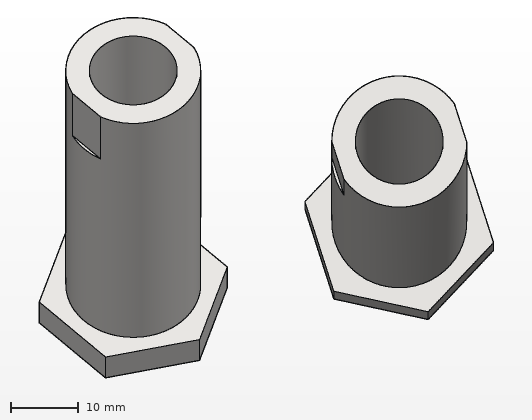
import cadquery as cq
import math

total_height = 56.0
head_corner_width = 28.6
head_height = 5.0
tube_diameter = 20.0
bore_diameter = 13.0
width_across_tube_flats = 19.05
tube_flat_height = 10.0

tube_radius = tube_diameter / 2
tube_flat_depth = (tube_diameter - width_across_tube_flats) / 2
tube_flat_width = 2 * math.sqrt(tube_radius**2 - (width_across_tube_flats / 2) ** 2)


def make_body():
    """Hexagonal head, corners on the X axis, with a round tube standing on it."""
    head = cq.Workplane("XY").polygon(6, head_corner_width).extrude(head_height)
    tube = cq.Workplane("XY").circle(tube_radius).extrude(total_height)
    return head.union(tube)


def make_flat_cutter(side):
    """Block that removes the tube wall outside one flat; side is +1 or -1 along Y."""
    center_y = side * (width_across_tube_flats + tube_flat_depth) / 2
    return (
        cq.Workplane("XY", origin=(0, center_y, total_height - tube_flat_height))
        .rect(tube_flat_width, tube_flat_depth)
        .extrude(tube_flat_height)
    )


body = make_body()

for side in (-1, 1):
    body = body.cut(make_flat_cutter(side))

bore = cq.Workplane("XY").circle(bore_diameter / 2).extrude(total_height)
result = body.cut(bore)